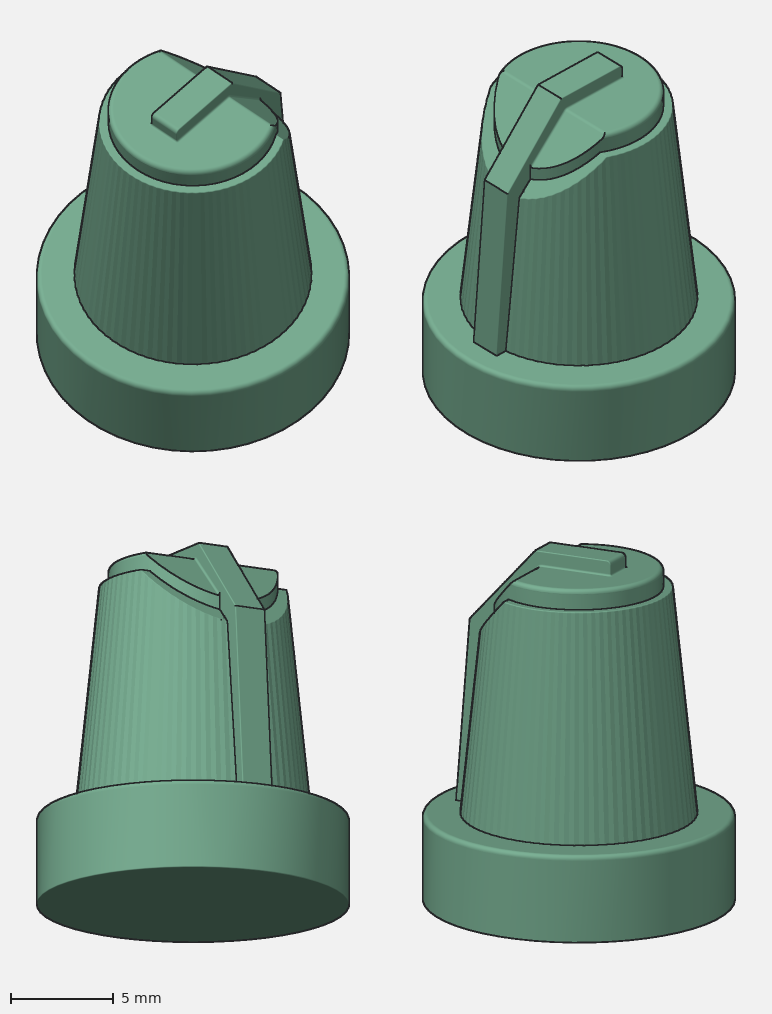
import cadquery as cq
import math

flange_diameter = 15.25
flange_height = 4.41
flange_top_fillet = 0.25
flange_bottom_fillet = 0.05

grip_top_z = 15.88
grip_bottom_radius = 5.79
grip_top_radius = 4.59
grip_edge_fillet = 0.05
tooth_count = 73
tooth_depth_ratio = 0.005

slope_angle = 45.0
slope_start_y = 2.01

cap_radius = 4.13
cap_top_z = 16.89
cap_slope_start_y = 1.7
cap_fillet = 0.25

overall_height = 17.65
pointer_width = 1.66
pointer_tip_y = -2.15
pointer_bend_y = 1.98
pointer_shoulder_y = 5.58
pointer_shoulder_z = 13.71
pointer_foot_y = 6.32
pointer_tip_fillet = 0.23
pointer_edge_fillet = 0.05
pointer_base_fillet = 0.1
slot_depth = 0.35

slope_drop = math.tan(math.radians(slope_angle))
far_y = flange_diameter / 2
surface_tolerance = 0.04


def grip_slope_z(y):
    return grip_top_z - slope_drop * (y - slope_start_y)


def side_prism(outline, half_width):
    """Prism with a (Y, Z) outline, centred on X = 0."""
    return cq.Workplane("YZ").polyline(outline).close().extrude(half_width, both=True)


def slope_cutter(start_y, start_z):
    """Wedge that removes everything behind and above a slanted plane."""
    end_z = start_z - slope_drop * (far_y - start_y)
    return side_prism([(start_y, start_z), (far_y, end_z), (far_y, start_z)], far_y)


def serrated_outline(tip_radius):
    """Closed zigzag of alternating tooth tips and groove roots, with a tip on the -X axis."""
    root_radius = tip_radius * (1 - tooth_depth_ratio)
    half_pitch = math.pi / tooth_count
    points = []
    for i in range(2 * tooth_count):
        radius = tip_radius if i % 2 == 0 else root_radius
        angle = math.pi + i * half_pitch
        points.append((radius * math.cos(angle), radius * math.sin(angle)))
    return points


def make_flange():
    flange = cq.Workplane("XY").circle(flange_diameter / 2).extrude(flange_height)
    flange = flange.faces(">Z").edges().fillet(flange_top_fillet)
    return flange.faces("<Z").edges().fillet(flange_bottom_fillet)


def make_grip():
    """Serrated cone with a slanted back and rounded upper edges."""
    grip = (
        cq.Workplane("XY", origin=(0, 0, flange_height))
        .polyline(serrated_outline(grip_bottom_radius))
        .close()
        .workplane(offset=grip_top_z - flange_height)
        .polyline(serrated_outline(grip_top_radius))
        .close()
        .loft(ruled=True)
    )
    grip = grip.cut(slope_cutter(slope_start_y, grip_top_z))
    slope_normal = cq.Vector(0, slope_drop, 1)
    upper_faces = grip.faces(">Z").add(grip.faces(cq.selectors.ParallelDirSelector(slope_normal)))
    return upper_faces.edges().fillet(grip_edge_fillet)


def make_cap():
    """Short cylinder that rests on the flat top and the slanted cut of the grip."""
    blank_bottom_z = grip_slope_z(grip_top_radius)
    cap = (
        cq.Workplane("XY", origin=(0, 0, blank_bottom_z))
        .circle(cap_radius)
        .extrude(cap_top_z - blank_bottom_z)
        .cut(slope_cutter(cap_slope_start_y, cap_top_z))
    )
    return cap.faces(">Z").edges().fillet(cap_fillet)


def grip_core():
    """Block under the pointer: the flange, the slot floor, the slanted cut and the top of the grip."""
    flank_lean = (grip_bottom_radius - grip_top_radius) / (grip_top_z - flange_height)
    slot_foot_y = grip_bottom_radius - slot_depth
    slot_rise = (grip_slope_z(slot_foot_y) - flange_height) / (1 - slope_drop * flank_lean)
    outline = [
        (-far_y, 0),
        (far_y, 0),
        (far_y, flange_height),
        (slot_foot_y, flange_height),
        (slot_foot_y - flank_lean * slot_rise, flange_height + slot_rise),
        (slope_start_y, grip_top_z),
        (-far_y, grip_top_z),
    ]
    return side_prism(outline, pointer_width)


def make_pointer():
    """Bent bar whose inner side follows the top, the slanted cut and the slot of the grip."""
    outline = [
        (pointer_tip_y, 0),
        (pointer_tip_y, overall_height),
        (pointer_bend_y, overall_height),
        (pointer_shoulder_y, pointer_shoulder_z),
        (pointer_foot_y, flange_height),
        (pointer_foot_y, 0),
    ]
    blank = side_prism(outline, pointer_width / 2)
    blank = blank.edges("|X and >Z and <Y").fillet(pointer_tip_fillet)
    blank = blank.faces("<X or >X").edges().fillet(pointer_edge_fillet)
    return blank.cut(grip_core())


def is_pointer_base_edge(edge):
    """True where the pointer's sides and tip meet the top and the slanted back of the cap."""
    center = edge.Center()
    cap_surface_z = cap_top_z - slope_drop * max(0, center.y - cap_slope_start_y)
    on_cap = abs(center.z - cap_surface_z) < surface_tolerance
    on_pointer = abs(center.x) < pointer_width / 2 + surface_tolerance
    return on_cap and on_pointer and center.y < cap_radius


def make_marker(grip):
    """Cap and pointer as one body, seated on the grip."""
    marker = make_cap().cut(grip).union(make_pointer())
    base_edges = marker.edges().filter(is_pointer_base_edge)
    return base_edges.fillet(pointer_base_fillet)


grip = make_grip()
marker = make_marker(grip)
knob = make_flange().union(grip.cut(marker))
result = cq.Compound.makeCompound([knob.val(), marker.val()])